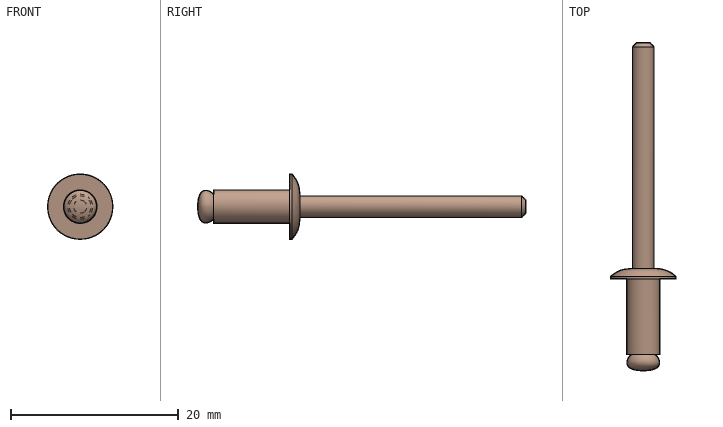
import cadquery as cq
import math

total_length = 39.2

pin_radius = 1.3
pin_chamfer = 0.5
head_radius = 1.95
head_widest_y = 0.98
head_neck_radius = 1.5

sleeve_radius = 2.0
sleeve_start_y = 1.92
flange_y = 10.98

flange_radius = 7.8 / 2
rim_thickness = 0.3
dome_height = 0.95
dome_flat_radius = 1.5

rim_y = flange_y + rim_thickness
dome_top_y = rim_y + dome_height

dome_run = flange_radius - dome_flat_radius
dome_arc_radius = (dome_run**2 + dome_height**2) / (2 * dome_height)
dome_mid_radius = dome_flat_radius + dome_run / 2
dome_mid_y = dome_top_y - dome_arc_radius + math.sqrt(dome_arc_radius**2 - (dome_run / 2) ** 2)

profile = (
    cq.Workplane("XY")
    .moveTo(0, 0)
    .spline(
        [(head_radius, head_widest_y), (head_neck_radius, sleeve_start_y)],
        tangents=[(1, 0), (0, 1), (-1, 1)],
        includeCurrent=True,
    )
    .lineTo(sleeve_radius, sleeve_start_y)
    .lineTo(sleeve_radius, flange_y)
    .lineTo(flange_radius, flange_y)
    .lineTo(flange_radius, rim_y)
    .threePointArc((dome_mid_radius, dome_mid_y), (dome_flat_radius, dome_top_y))
    .lineTo(pin_radius, dome_top_y)
    .lineTo(pin_radius, total_length - pin_chamfer)
    .lineTo(pin_radius - pin_chamfer, total_length)
    .lineTo(0, total_length)
    .close()
)

result = profile.revolve(360, (0, 0, 0), (0, 1, 0))